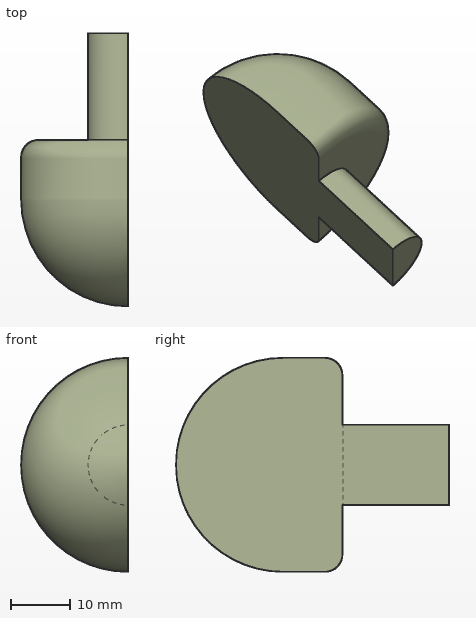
import cadquery as cq
import math

dome_radius = 18.0
collar_length = 10.0
edge_radius = 3.0
stem_radius = 6.75
total_length = 45.95

dome_tip = -dome_radius
stem_end = total_length - dome_radius
edge_start = collar_length - edge_radius
rim_radius = dome_radius - edge_radius
diagonal = math.sqrt(0.5)

profile = (
    cq.Workplane("YZ")
    .moveTo(dome_tip, 0)
    .threePointArc((-dome_radius * diagonal, dome_radius * diagonal), (0, dome_radius))
    .lineTo(edge_start, dome_radius)
    .threePointArc(
        (edge_start + edge_radius * diagonal, rim_radius + edge_radius * diagonal),
        (collar_length, rim_radius),
    )
    .lineTo(collar_length, stem_radius)
    .lineTo(stem_end, stem_radius)
    .lineTo(stem_end, 0)
    .close()
)

result = profile.revolve(180, (0, 0), (-1, 0))